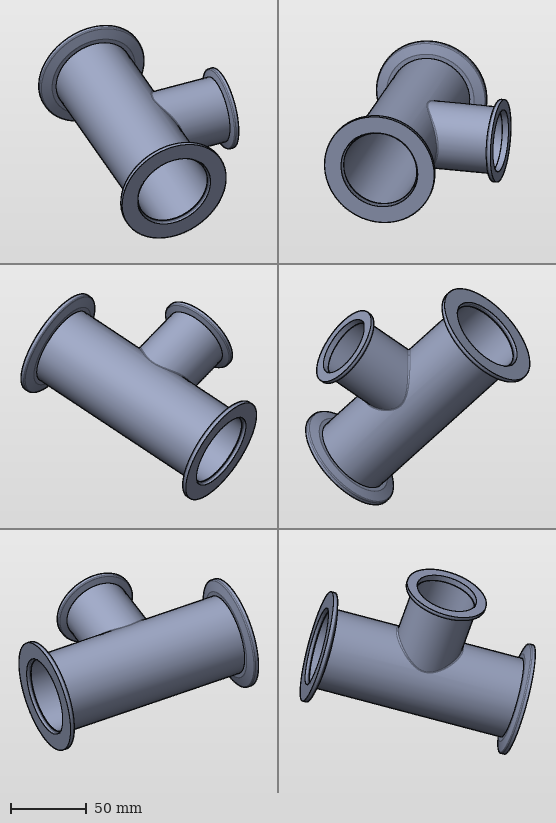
import cadquery as cq
import math

run_length = 140.0
branch_reach = 65.0

run_tube_diameter = 54.0
run_bore_diameter = 50.0
branch_tube_diameter = 44.5
branch_bore_diameter = 40.5
junction_fillet = 1.0

run_ferrule_diameter = 75.0
run_ferrule_thickness = 5.0
run_hub_diameter = 59.9
run_recess_diameter = 52.4
run_recess_depth = 2.4
recess_fillet = 0.35
lip_thickness = 0.4
run_tube_setback = run_recess_depth + lip_thickness

branch_ferrule_diameter = 55.0
branch_ferrule_thickness = 4.2
branch_ferrule_bore = 41.2
branch_hub_diameter = 44.7

clamp_angle = 15.0
rim_round = 0.8


def make_tee():
    """Run and branch tubes as one hollow body, its run ends seated in sockets and its branch end on a hub."""
    run_tube_length = run_length - 2 * run_tube_setback
    branch_tube_length = branch_reach - branch_ferrule_thickness

    def run_cylinder(diameter):
        return cq.Workplane("YZ").circle(diameter / 2).extrude(run_tube_length / 2, both=True)

    def branch_cylinder(diameter):
        return cq.Workplane("XZ").circle(diameter / 2).extrude(-branch_tube_length)

    outside = run_cylinder(run_tube_diameter).union(branch_cylinder(branch_tube_diameter))
    half_width = branch_tube_diameter / 2 + junction_fillet
    inner_y = 1.4
    outer_y = run_tube_diameter / 2 + junction_fillet
    junction = cq.selectors.BoxSelector(
        (-half_width, inner_y, -half_width), (half_width, outer_y, half_width), boundingbox=True
    )
    outside = outside.edges(junction).fillet(junction_fillet)
    return outside.cut(run_cylinder(run_bore_diameter)).cut(branch_cylinder(branch_bore_diameter))


def make_ferrule(diameter, thickness, bore, hub_diameter):
    """Clamp ferrule about Z with its sealing face at Z = 0 and its hub toward +Z."""
    slope = math.radians(clamp_angle)
    rim_radius = diameter / 2
    hub_radius = hub_diameter / 2

    cone_radius = rim_radius - rim_round * (1 - math.sin(slope))
    cone_depth = thickness - (cone_radius - hub_radius) * math.tan(slope)
    rim_width = cone_depth - rim_round * math.cos(slope)
    return (
        cq.Workplane("XZ")
        .moveTo(bore / 2, 0)
        .lineTo(rim_radius, 0)
        .lineTo(rim_radius, rim_width)
        .tangentArcPoint((cone_radius, cone_depth), relative=False)
        .lineTo(hub_radius, thickness)
        .lineTo(bore / 2, thickness)
        .close()
        .revolve(360, (0, 0, 0), (0, 1, 0))
    )


def make_recess_and_socket():
    """Space about Z for the filleted recess in the sealing face and the tube socket behind its lip."""
    recess = (
        cq.Workplane("XY")
        .circle(run_recess_diameter / 2)
        .extrude(run_recess_depth)
        .faces(">Z")
        .edges()
        .fillet(recess_fillet)
    )
    socket = (
        cq.Workplane("XY")
        .workplane(offset=run_tube_setback)
        .circle(run_tube_diameter / 2)
        .extrude(run_ferrule_thickness - run_tube_setback)
    )
    return recess.union(socket)


def make_run_ferrule(side):
    """Ferrule at the -X end (side = -1) or the +X end (side = 1)."""
    ferrule = make_ferrule(
        run_ferrule_diameter, run_ferrule_thickness, run_bore_diameter, run_hub_diameter
    ).cut(make_recess_and_socket())
    return ferrule.rotate((0, 0, 0), (0, 1, 0), -side * 90).translate((side * run_length / 2, 0, 0))


def make_branch_ferrule():
    """Ferrule at the +Y end of the branch."""
    ferrule = make_ferrule(
        branch_ferrule_diameter, branch_ferrule_thickness, branch_ferrule_bore, branch_hub_diameter
    )
    return ferrule.rotate((0, 0, 0), (1, 0, 0), 90).translate((0, branch_reach, 0))


tee = make_tee()
run_ferrules = [make_run_ferrule(side) for side in (-1, 1)]
branch_ferrule = make_branch_ferrule()

result = cq.Compound.makeCompound(
    [tee.val(), *[ferrule.val() for ferrule in run_ferrules], branch_ferrule.val()]
)